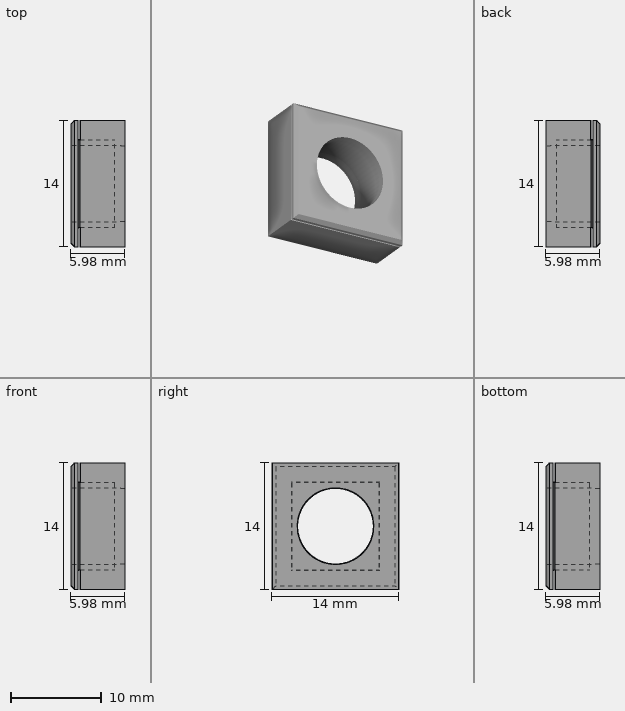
import cadquery as cq

side = 14.0
length = 5.98

flange_thickness = 0.8
flange_chamfer = 0.4
neck_root_side = 9.77
neck_draft = 15.0
plug_end = 4.79
bore_radius = 4.24

gap = 0.21
block_start = flange_thickness + gap
rim_start = 5.6
rim_radius = 4.19


def square_plate(start, end):
    """Square plate centred on the X axis between two X positions."""
    return cq.Workplane("YZ").workplane(offset=start).rect(side, side).extrude(end - start)


def revolved(profile):
    """Solid of revolution about X from (x, radius) points."""
    return cq.Workplane("XY").polyline(profile).close().revolve(360, (0, 0, 0), (1, 0, 0))


def cone(start, end, start_radius, end_radius):
    """Round solid along X whose radius changes evenly between its ends."""
    return revolved([(start, 0), (start, start_radius), (end, end_radius), (end, 0)])


def plug_envelope():
    """Outside of the square plug: a drafted neck across the gap, then a straight shank."""
    neck = (
        cq.Workplane("YZ")
        .workplane(offset=flange_thickness)
        .rect(neck_root_side, neck_root_side)
        .extrude(gap, taper=neck_draft)
    )
    shank = neck.faces(">X").wires().toPending().extrude(plug_end - block_start, combine=False)
    return neck.union(shank)


def make_cap():
    flange = square_plate(0, flange_thickness).faces("<X").chamfer(flange_chamfer)
    bore = cone(0, plug_end, bore_radius, bore_radius)
    return flange.union(plug_envelope()).cut(bore)


def make_block():
    body = square_plate(block_start, length)
    throat = cone(plug_end, rim_start, bore_radius, rim_radius)
    rim = cone(rim_start, length, rim_radius, rim_radius)
    return body.cut(plug_envelope()).cut(throat).cut(rim)


cap = make_cap()
block = make_block()

result = cq.Compound.makeCompound([cap.val(), block.val()])